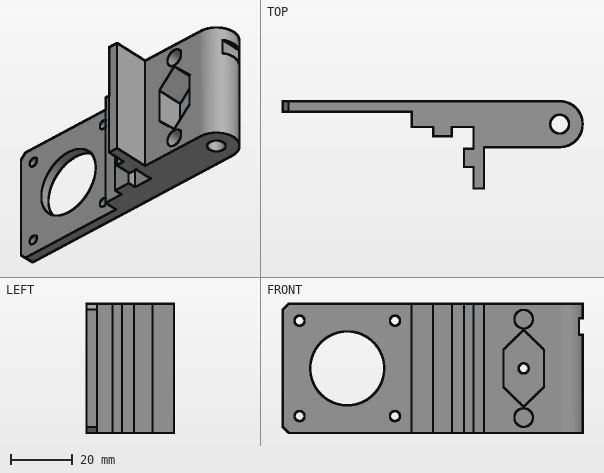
import cadquery as cq

length = 97.4
depth = 28.4
height = 42.0
mid_z = height / 2

plate_thickness = 3.5
plate_length = 41.9
corner_chamfer = 1.9
motor_opening_diameter = 24.0
screw_diameter = 3.2
screw_spacing = 31.0

seat_size = 20.0
rail_width = 6.0
rail_height = 3.0
leg_thickness = 3.5
seat_y = seat_size - depth
seat_end_x = plate_length + seat_size
leg_end_x = seat_end_x + leg_thickness
rail_offset = (seat_size - rail_width) / 2
rail_start_x = plate_length + rail_offset
rail_end_x = rail_start_x + rail_width
side_rail_back_y = seat_y - rail_offset
side_rail_front_y = side_rail_back_y - rail_width

arm_thickness = 15.0
arm_radius = arm_thickness / 2
hinge_x = length - arm_radius
pin_diameter = 6.0

pocket_x = 78.2
pocket_depth = 10.0
hex_half_width = 6.6
hex_half_height = 12.5
hex_shoulder_height = 6.0
round_pocket_diameter = 6.0
round_pocket_offset = 16.0

notch_depth = 1.2
notch_height = 5.3
notch_bottom_z = 31.9


def make_body():
    """Extrude the constant XY section of plate, seat and hinge arm."""
    return (
        cq.Workplane("XY")
        .moveTo(0, 0)
        .lineTo(0, -plate_thickness)
        .lineTo(plate_length, -plate_thickness)
        .lineTo(plate_length, seat_y)
        .lineTo(rail_start_x, seat_y)
        .lineTo(rail_start_x, seat_y - rail_height)
        .lineTo(rail_end_x, seat_y - rail_height)
        .lineTo(rail_end_x, seat_y)
        .lineTo(seat_end_x, seat_y)
        .lineTo(seat_end_x, side_rail_back_y)
        .lineTo(seat_end_x - rail_height, side_rail_back_y)
        .lineTo(seat_end_x - rail_height, side_rail_front_y)
        .lineTo(seat_end_x, side_rail_front_y)
        .lineTo(seat_end_x, -depth)
        .lineTo(leg_end_x, -depth)
        .lineTo(leg_end_x, -arm_thickness)
        .lineTo(hinge_x, -arm_thickness)
        .threePointArc((length, -arm_radius), (hinge_x, 0))
        .close()
        .extrude(height)
        .edges("|Y and <X")
        .chamfer(corner_chamfer)
    )


def front_plane(x, y):
    """Plane facing -Y, centred at mid height."""
    return cq.Workplane("XZ", origin=(x, y, mid_z))


def make_motor_holes():
    plane = front_plane(plate_length / 2, 0)
    opening = plane.circle(motor_opening_diameter / 2).extrude(plate_thickness)
    screws = (
        plane.rect(screw_spacing, screw_spacing, forConstruction=True)
        .vertices()
        .circle(screw_diameter / 2)
        .extrude(plate_thickness)
    )
    return opening.union(screws)


def make_arm_pockets():
    """Pointed hexagonal pocket, its through hole and two round blind holes."""
    face = front_plane(pocket_x, -arm_thickness)
    hexagon = face.polyline([
        (0, hex_half_height),
        (hex_half_width, hex_shoulder_height),
        (hex_half_width, -hex_shoulder_height),
        (0, -hex_half_height),
        (-hex_half_width, -hex_shoulder_height),
        (-hex_half_width, hex_shoulder_height),
    ]).close().extrude(-pocket_depth)
    rounds = (
        face.pushPoints([(0, round_pocket_offset), (0, -round_pocket_offset)])
        .circle(round_pocket_diameter / 2)
        .extrude(-pocket_depth)
    )
    through_hole = face.circle(screw_diameter / 2).extrude(-arm_thickness)
    return hexagon.union(rounds).union(through_hole)


def make_pin_hole():
    return (
        cq.Workplane("XY")
        .center(hinge_x, -arm_radius)
        .circle(pin_diameter / 2)
        .extrude(height)
    )


def make_end_notch():
    return cq.Workplane("XY").box(notch_depth, arm_thickness, notch_height, centered=False).translate(
        (length - notch_depth, -arm_thickness, notch_bottom_z)
    )


result = (
    make_body()
    .cut(make_motor_holes())
    .cut(make_arm_pockets())
    .cut(make_pin_hole())
    .cut(make_end_notch())
)